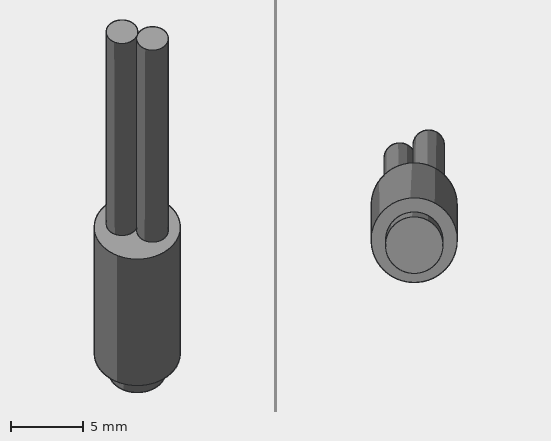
import cadquery as cq

total_height = 35.0
tip_height = 1.85
wire_length = 20.0
body_height = total_height - tip_height - wire_length

tip_diameter = 4.0
body_diameter = 6.0
wire_diameter = 2.2

wire_spacing = wire_diameter


def cylinder(diameter, height, base_z, center_x=0):
    """Upright cylinder standing on the height base_z."""
    return (
        cq.Workplane("XY", origin=(center_x, 0, base_z))
        .circle(diameter / 2)
        .extrude(height)
    )


result = cylinder(tip_diameter, tip_height, 0)
result = result.union(cylinder(body_diameter, body_height, tip_height))

for side in (-1, 1):
    wire = cylinder(wire_diameter, wire_length, tip_height + body_height, side * wire_spacing / 2)
    result = result.union(wire)